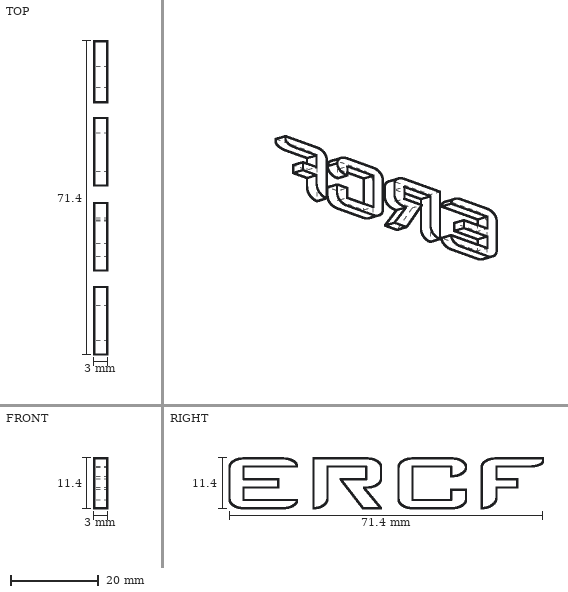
import cadquery as cq

LENGTH = 71.4
HEIGHT = 11.4
THICKNESS = 3.0

CHAR_WIDTH = 15.4
F_WIDTH = 14.0
C_START = 17.5
R_START = 36.85
E_START = LENGTH - CHAR_WIDTH

BAR = 1.9
STEM = 3.4
SPINE = 3.2
CORNER_ACROSS = 3.3
CORNER_UP = 2.1

MID_TOP = 6.65
MID_BOTTOM = MID_TOP - BAR
BAR_TOP_UNDERSIDE = HEIGHT - BAR

F_ARM_START = 5.85
F_TIP_BOTTOM = 10.7
F_FOOT_UP = 2.5
C_HOOK_BOTTOM = 7.3
C_LIP_TOP = 4.3
R_FOOT_UP = 2.3
R_DIAGONAL_TIP = 9.3
R_DIAGONAL_FOOT = 4.15
R_NOTCH = 3.9
E_ARM_START = 4.3

QUARTER_ELLIPSE_HANDLE = 0.5523


def toward(point, target):
    """Point a handle length of the way from point to target."""
    return tuple(p + QUARTER_ELLIPSE_HANDLE * (t - p) for p, t in zip(point, target))


def character(start, steps):
    """Extrude a closed outline. A step is ("line", point) or ("round", corner, point),
    where a round is a quarter ellipse whose end tangents meet at the corner."""

    def place(point):
        across, up = point
        return (LENGTH / 2 - start - across, up)

    current = steps[0][-1]
    outline = cq.Workplane("YZ", origin=(-THICKNESS / 2, 0, 0)).moveTo(*place(current))
    for kind, *points in steps[1:]:
        end = points[-1]
        if kind == "line":
            outline = outline.lineTo(*place(end))
        else:
            corner = points[0]
            handles = [toward(current, corner), toward(end, corner)]
            controls = [current, *handles, end]
            outline = outline.bezier([place(point) for point in controls])
        current = end
    return outline.close().extrude(THICKNESS)


def make_f():
    stem_start = F_WIDTH - STEM
    return character(0, [
        ("line", (0, HEIGHT)),
        ("line", (F_WIDTH - CORNER_ACROSS, HEIGHT)),
        ("round", (F_WIDTH, HEIGHT), (F_WIDTH, HEIGHT - CORNER_UP)),
        ("line", (F_WIDTH, 0)),
        ("round", (stem_start, 0), (stem_start, F_FOOT_UP)),
        ("line", (stem_start, MID_BOTTOM)),
        ("line", (F_ARM_START, MID_BOTTOM)),
        ("line", (F_ARM_START, MID_TOP)),
        ("line", (stem_start, MID_TOP)),
        ("line", (stem_start, BAR_TOP_UNDERSIDE)),
        ("line", (CORNER_ACROSS, BAR_TOP_UNDERSIDE)),
        ("round", (0, BAR_TOP_UNDERSIDE), (0, F_TIP_BOTTOM)),
    ])


def make_c():
    spine_start = CHAR_WIDTH - SPINE
    return character(C_START, [
        ("line", (CORNER_ACROSS, HEIGHT)),
        ("line", (CHAR_WIDTH - CORNER_ACROSS, HEIGHT)),
        ("round", (CHAR_WIDTH, HEIGHT), (CHAR_WIDTH, HEIGHT - CORNER_UP)),
        ("line", (CHAR_WIDTH, CORNER_UP)),
        ("round", (CHAR_WIDTH, 0), (CHAR_WIDTH - CORNER_ACROSS, 0)),
        ("line", (CORNER_ACROSS, 0)),
        ("round", (0, 0), (0, CORNER_UP)),
        ("line", (0, C_LIP_TOP)),
        ("line", (STEM, C_LIP_TOP)),
        ("line", (STEM, BAR)),
        ("line", (spine_start, BAR)),
        ("line", (spine_start, BAR_TOP_UNDERSIDE)),
        ("line", (STEM, BAR_TOP_UNDERSIDE)),
        ("line", (STEM, C_HOOK_BOTTOM)),
        ("round", (0, C_HOOK_BOTTOM), (0, HEIGHT - CORNER_UP)),
        ("round", (0, HEIGHT), (CORNER_ACROSS, HEIGHT)),
    ])


def make_r():
    leg_start = CHAR_WIDTH - SPINE
    return character(R_START, [
        ("line", (CORNER_ACROSS, HEIGHT)),
        ("line", (CHAR_WIDTH, HEIGHT)),
        ("line", (CHAR_WIDTH, 0)),
        ("round", (leg_start, 0), (leg_start, R_FOOT_UP)),
        ("line", (leg_start, BAR_TOP_UNDERSIDE)),
        ("line", (STEM, BAR_TOP_UNDERSIDE)),
        ("line", (STEM, MID_TOP)),
        ("line", (R_DIAGONAL_TIP, MID_TOP)),
        ("line", (R_DIAGONAL_FOOT, 0)),
        ("line", (0, 0)),
        ("line", (R_NOTCH, MID_BOTTOM)),
        ("line", (CORNER_ACROSS, MID_BOTTOM)),
        ("round", (0, MID_BOTTOM), (0, MID_BOTTOM + CORNER_UP)),
        ("line", (0, HEIGHT - CORNER_UP)),
        ("round", (0, HEIGHT), (CORNER_ACROSS, HEIGHT)),
    ])


def make_e():
    spine_start = CHAR_WIDTH - SPINE
    return character(E_START, [
        ("line", (CORNER_ACROSS, HEIGHT)),
        ("line", (CHAR_WIDTH - CORNER_ACROSS, HEIGHT)),
        ("round", (CHAR_WIDTH, HEIGHT), (CHAR_WIDTH, HEIGHT - CORNER_UP)),
        ("line", (CHAR_WIDTH, CORNER_UP)),
        ("round", (CHAR_WIDTH, 0), (CHAR_WIDTH - CORNER_ACROSS, 0)),
        ("line", (CORNER_ACROSS, 0)),
        ("round", (0, 0), (0, BAR)),
        ("line", (spine_start, BAR)),
        ("line", (spine_start, MID_BOTTOM)),
        ("line", (E_ARM_START, MID_BOTTOM)),
        ("line", (E_ARM_START, MID_TOP)),
        ("line", (spine_start, MID_TOP)),
        ("line", (spine_start, BAR_TOP_UNDERSIDE)),
        ("line", (0, BAR_TOP_UNDERSIDE)),
        ("round", (0, HEIGHT), (CORNER_ACROSS, HEIGHT)),
    ])


letter_f = make_f()
letter_c = make_c()
letter_r = make_r()
letter_e = make_e()

result = cq.Compound.makeCompound([letter_f.val(), letter_c.val(), letter_r.val(), letter_e.val()])